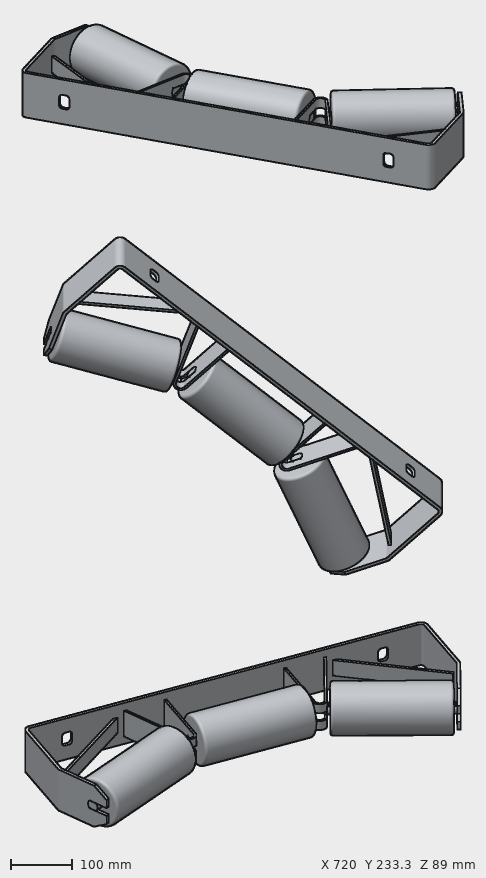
import cadquery as cq
import math


frame_length = 720.0
frame_width = 80.0
sheet = 6.0
corner_bend = 9.0
wing_bend = 7.5
frame_top = 225.6
tip_half_width = 23.0
tip_cut_length = 26.0

window_spacing = 566.0
window_width = 18.0
window_height = 25.0
window_corner = 6.0

roller_diameter = 89.0
roller_length = 200.0
roller_edge = 5.0
trough_angle = 25.0
middle_height = 98.5
side_offset = 229.0
side_height = 152.37

shaft_diameter = 20.0
shaft_flat = 15.0
shaft_shoulder = 2.5
shaft_gap = 5.0

bracket_sheet = 4.0
bracket_width = 50.0
bracket_bend = 10.1

brace_thickness = 5.0
brace_width = 30.0
brace_top = 121.0
brace_foot = 201.0

tilt = math.radians(trough_angle)
support_face = roller_length / 2 + shaft_gap
wall_middle = (frame_length - sheet) / 2


def side_point(along, up):
    """Point given along the left roller's axis (towards the middle) and square to it."""
    x = -side_offset + along * math.cos(tilt) + up * math.sin(tilt)
    y = side_height - along * math.sin(tilt) + up * math.cos(tilt)
    return (x, y)


def side_up_at_x(along, x):
    """How far up the line at a given axial place has the given x."""
    return (x + side_offset - along * math.cos(tilt)) / math.sin(tilt)


def side_up_at_y(along, y):
    """How far up the line at a given axial place has the given y."""
    return (y - side_height + along * math.sin(tilt)) / math.cos(tilt)


def bent_sheet(points, thickness, width, radii):
    """Sheet that follows a centreline in the XY plane, with one bend radius per inner point."""
    path = cq.Wire.makePolygon([cq.Vector(x, y) for x, y in points])
    for radius, (x, y) in zip(radii, points[1:-1]):
        corner = min(path.Vertices(), key=lambda v: math.hypot(v.X - x, v.Y - y))
        path = path.fillet(radius, [corner])
    (x0, y0), (x1, y1) = points[:2]
    start = cq.Plane(origin=(x0, y0, 0), xDir=(0, 0, 1), normal=(x1 - x0, y1 - y0, 0))
    return cq.Workplane(start).rect(width, thickness).sweep(cq.Workplane(path))


def prism(points, width):
    """Polygon in the XY plane, extruded evenly to both sides of z = 0."""
    return cq.Workplane("XY").polyline(points).close().extrude(width / 2, both=True)


def mirrored(body):
    return body.mirror("YZ")


def place_on_left(body):
    """Move a body from the origin onto the axis of the left roller."""
    return body.rotate((0, 0, 0), (0, 0, 1), -trough_angle).translate((-side_offset, side_height, 0))


def shaft(sheet_outer, sheet_inner):
    """Shaft along X, round beside the roller and flattened at both ends, in the supports."""
    length = sheet_outer + sheet_inner
    rod = cq.Workplane("YZ", origin=(-sheet_outer, 0, 0)).circle(shaft_diameter / 2).extrude(length)
    flats = cq.Workplane("XY").box(2 * length, shaft_diameter, shaft_flat)
    core = cq.Workplane("XY").box(roller_length + 2 * shaft_shoulder, shaft_diameter, shaft_diameter)
    return rod.intersect(flats.union(core))


def roller(sheet_outer, sheet_inner):
    """Roller along X in one piece with its shaft."""
    end_plane = cq.Workplane("YZ", origin=(-roller_length / 2, 0, 0))
    drum = end_plane.circle(roller_diameter / 2).extrude(roller_length)
    drum = drum.faces("<X or >X").edges().fillet(roller_edge)
    return drum.union(shaft(sheet_outer, sheet_inner))


wing_far = support_face + sheet
leg_far = support_face + bracket_sheet
middle_roller = roller(leg_far, leg_far).translate((0, middle_height, 0))
left_roller = place_on_left(roller(wing_far, leg_far))
right_roller = mirrored(left_roller)


wing_middle = -(support_face + sheet / 2)
wing_tip_up = side_up_at_y(-wing_far, frame_top)
fold = side_point(wing_middle, side_up_at_x(wing_middle, -wall_middle))
left_path = [side_point(wing_middle, wing_tip_up), fold, (-wall_middle, sheet / 2)]
right_path = [(-x, y) for x, y in reversed(left_path)]
bend_radii = [wing_bend, corner_bend, corner_bend, wing_bend]
frame = bent_sheet(left_path + right_path, sheet, frame_width, bend_radii)

windows = (
    cq.Workplane("XZ")
    .pushPoints([(-window_spacing / 2, 0), (window_spacing / 2, 0)])
    .rect(window_width, window_height)
    .extrude(-sheet)
    .edges("|Y")
    .fillet(window_corner)
)
frame = frame.cut(windows)


def wing_cutter():
    """Open slot and the two tip corners, for a wing that stands across the X axis."""
    wing_plane = cq.Workplane("YZ", origin=(-wing_far - sheet, 0, 0))
    depth = 3 * sheet
    cutter = wing_plane.center(wing_tip_up / 2, 0).rect(wing_tip_up, shaft_flat).extrude(depth)
    for side in (1, -1):
        corner = [
            (wing_tip_up, side * tip_half_width),
            (wing_tip_up, side * frame_width / 2),
            (wing_tip_up - tip_cut_length, side * frame_width / 2),
        ]
        cutter = cutter.union(wing_plane.polyline(corner).close().extrude(depth))
    return cutter


left_wing_cutter = place_on_left(wing_cutter())
for cutter in (left_wing_cutter, mirrored(left_wing_cutter), left_roller, right_roller):
    frame = frame.cut(cutter)


leg_middle = support_face + bracket_sheet / 2
slope_foot = side_point(leg_middle, side_up_at_y(leg_middle, 0))
slope_apex = side_point(leg_middle, side_up_at_x(leg_middle, -leg_middle))
left_bracket = bent_sheet(
    [slope_foot, slope_apex, (-leg_middle, 0)], bracket_sheet, bracket_width, [bracket_bend]
)
below_base = cq.Workplane("XY").box(frame_length, 2 * sheet, frame_width)
bracket_slot = prism(
    [
        side_point(support_face, 0),
        slope_apex,
        (-support_face, slope_apex[1]),
        (-support_face, middle_height),
        (-leg_far, middle_height),
        side_point(leg_far, 0),
    ],
    shaft_flat,
)
for cutter in (below_base, bracket_slot, left_roller, middle_roller):
    left_bracket = left_bracket.cut(cutter)
right_bracket = mirrored(left_bracket)


wall_inside = frame_length / 2 - sheet
brace_run = wall_inside - brace_foot
brace_angle = math.atan2(brace_top - sheet, brace_run)
uncut_length = 2 * math.hypot(brace_run, brace_top)
base_mitre = prism([(-frame_length, sheet), (frame_length, sheet), (0, -frame_length)], frame_width)
left_brace = (
    cq.Workplane("XY")
    .box(uncut_length, brace_thickness, brace_width, centered=(False, False, True))
    .rotate((0, 0, 0), (0, 0, 1), -math.degrees(brace_angle))
    .translate((-wall_inside, brace_top, 0))
    .cut(base_mitre)
)
right_brace = mirrored(left_brace)

bodies = [
    frame, left_bracket, right_bracket, left_brace, right_brace,
    left_roller, middle_roller, right_roller,
]
result = cq.Compound.makeCompound([body.solids().val() for body in bodies])